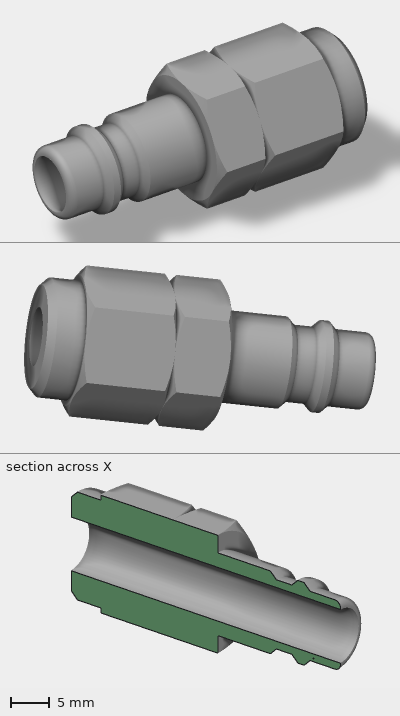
import cadquery as cq
import math

collar_start = 5.0
collar_rim_start = 6.0
collar_rim_end = 7.0
collar_end = 8.0
groove_end = 10.5
shank_start = 11.5
front_hex_start = 20.0
hex_joint = 27.32
rear_hex_end = 39.2
total_length = 44

plug_radius = 5.0
shank_radius = 6.0
tail_radius = 7.8
bore_radius = 3.85
hex_flats = 17.0

tip_round = 1.0
tail_chamfer = 1.0
hex_chamfer_angle = 30

hex_corners = hex_flats / math.cos(math.pi / 6)
hex_chamfer_radial = (hex_corners - hex_flats) / 2
hex_chamfer_axial = hex_chamfer_radial * math.tan(math.radians(hex_chamfer_angle))


def section_at(y):
    """Workplane at distance y from the tip, with its normal along +Y."""
    return cq.Workplane(cq.Plane(origin=(0, y, 0), xDir=(1, 0, 0), normal=(0, 1, 0)))


def cylinder(start, end, radius):
    return section_at(start).circle(radius).extrude(end - start)


def chamfered_hex(start, end):
    """Hexagon with corners on X, trimmed at both ends by shallow cones."""
    prism = section_at(start).polygon(6, hex_corners).extrude(end - start)
    envelope = cylinder(start, end, hex_corners / 2)
    envelope = envelope.faces("<Y or >Y").chamfer(hex_chamfer_axial, hex_chamfer_radial)
    return prism.intersect(envelope)


def plug():
    """Turned plug with a rounded tip, a bevelled collar and a groove."""
    profile = (
        cq.Workplane("XY")
        .lineTo(plug_radius, 0)
        .lineTo(plug_radius, collar_start)
        .lineTo(shank_radius, collar_rim_start)
        .lineTo(shank_radius, collar_rim_end)
        .lineTo(plug_radius, collar_end)
        .lineTo(plug_radius, groove_end)
        .lineTo(shank_radius, shank_start)
        .lineTo(shank_radius, front_hex_start)
        .lineTo(0, front_hex_start)
        .close()
    )
    body = profile.revolve(360, (0, 0, 0), (0, 1, 0))
    return body.faces("<Y").edges().fillet(tip_round)


def tail():
    """Round rear end with a bevelled rim."""
    return cylinder(rear_hex_end, total_length, tail_radius).faces(">Y").chamfer(tail_chamfer)


body = (
    plug()
    .union(chamfered_hex(front_hex_start, hex_joint))
    .union(chamfered_hex(hex_joint, rear_hex_end))
    .union(tail())
)
result = body.cut(cylinder(0, total_length, bore_radius))